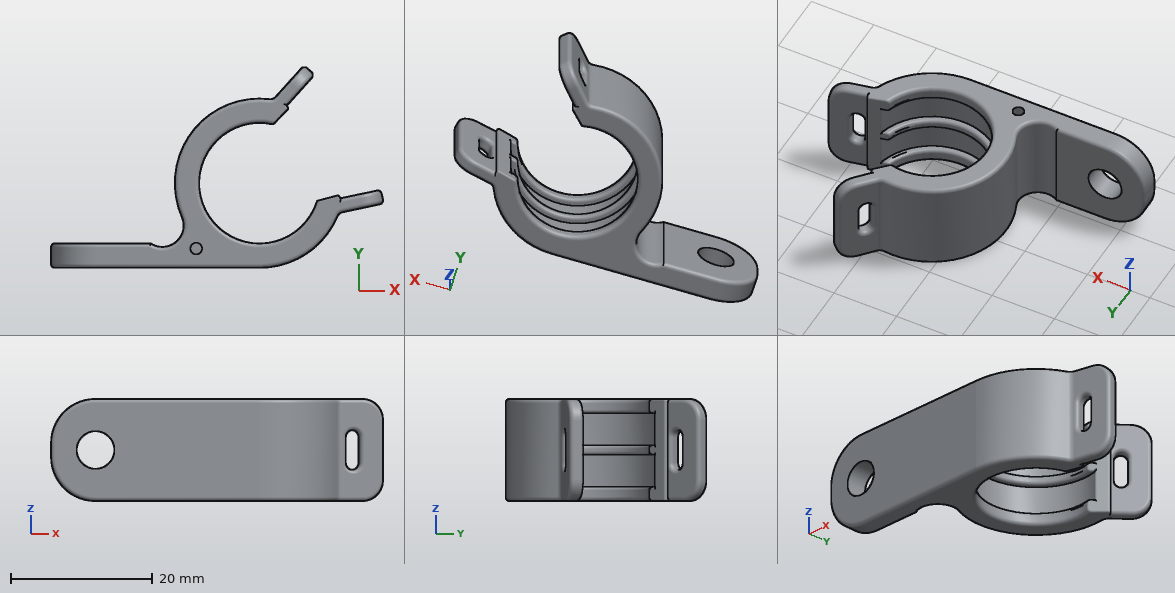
import cadquery as cq
import math

HEIGHT = 14.5
TOP_Z = HEIGHT / 2
EDGE_FILLET = 0.6

RING_OUTER_R = 12.0
BORE_R = 8.52
MOUTH_AXIS_ANGLE = 30.0
MOUTH_INNER_ANGLE = 47.0
MOUTH_OUTER_R = 11.35
MOUTH_OUTER_ANGLE = 38.5
MOUTH_FILLET = 0.3

GROOVE_R = 9.5
GROOVE_NEAR_Z = 0.7
GROOVE_FAR_Z = 5.2
GROOVE_LIP_R = 0.48

TAB_ANGLE = 18.0
TAB_THICKNESS = 2.02
TAB_INNER_OFFSET = 4.46
TAB_OUTER_OFFSET = TAB_INNER_OFFSET + TAB_THICKNESS
TAB_HEEL = 10.75
TAB_TIP = 16.63
TAB_ROOT_FILLET = 1.0
TAB_CORNER_R = 3.0

SLOT_DISTANCE = 12.25
SLOT_LENGTH = 5.6
SLOT_WIDTH = 2.0
SLOT_FILLET = 0.6

STRIP_END_X = -29.52
STRIP_OUTER_Y = -RING_OUTER_R
STRIP_THICKNESS = 3.5
STRIP_INNER_Y = STRIP_OUTER_Y + STRIP_THICKNESS
STRIP_CORNER_R = 6.32
SCREW_HOLE_D = 5.3
SCREW_HOLE_X = STRIP_END_X + STRIP_CORNER_R

RELIEF_R = 3.0
RELIEF_Y = -6.0
RELIEF_REACH = RING_OUTER_R + RELIEF_R
RELIEF_X = -math.sqrt(RELIEF_REACH**2 - RELIEF_Y**2)

PIN_HOLE_D = 1.65
PIN_HOLE_X = -8.95
PIN_HOLE_Y = -9.25
PIN_HOLE_DEPTH = 2.0

UPPER_ARC_VIA_ANGLE = 150.0
LOWER_ARC_VIA_ANGLE = -60.0
RELIEF_VIA_ANGLE = -45.0

SIDES = (1, -1)
PICK_SIZE = 0.01


def polar(radius, degrees):
    """Point at a radius and angle about the bore axis."""
    angle = math.radians(degrees)
    return radius * math.cos(angle), radius * math.sin(angle)


def mouth_point(side, radius, degrees):
    """Point on one arm at an angle from the mouth axis."""
    return polar(radius, MOUTH_AXIS_ANGLE + side * degrees)


def tab_point(side, distance, offset):
    """Point at a distance along a tab and an offset outward from the bore centre."""
    direction = MOUTH_AXIS_ANGLE + side * TAB_ANGLE
    along_x, along_y = polar(distance, direction)
    across_x, across_y = polar(offset, direction + side * 90)
    return along_x + across_x, along_y + across_y


def root_fillet_points(side):
    """Start on the ring, middle and end on the tab of the fillet at a tab's root."""
    reach = RING_OUTER_R + TAB_ROOT_FILLET
    offset = TAB_OUTER_OFFSET + TAB_ROOT_FILLET
    distance = math.sqrt(reach**2 - offset**2)
    centre_x, centre_y = tab_point(side, distance, offset)
    to_centre = math.degrees(math.atan2(centre_y, centre_x))
    to_ring = to_centre + 180
    to_tab = MOUTH_AXIS_ANGLE + side * (TAB_ANGLE - 90)
    turn = (to_tab - to_ring + 180) % 360 - 180
    mid_x, mid_y = polar(TAB_ROOT_FILLET, to_ring + turn / 2)
    middle = (centre_x + mid_x, centre_y + mid_y)
    return polar(RING_OUTER_R, to_centre), middle, tab_point(side, distance, TAB_OUTER_OFFSET)


def clip_blank():
    """Outline of strip, ring and tabs, extruded to the full height."""
    upper_ring, upper_mid, upper_tab = root_fillet_points(1)
    lower_ring, lower_mid, lower_tab = root_fillet_points(-1)
    relief_start = polar(RING_OUTER_R, math.degrees(math.atan2(RELIEF_Y, RELIEF_X)))
    mid_x, mid_y = polar(RELIEF_R, RELIEF_VIA_ANGLE)
    relief_mid = (RELIEF_X + mid_x, RELIEF_Y + mid_y)
    relief_half_width = math.sqrt(RELIEF_R**2 - (STRIP_INNER_Y - RELIEF_Y) ** 2)
    relief_end = (RELIEF_X - relief_half_width, STRIP_INNER_Y)
    bore_back = polar(BORE_R, MOUTH_AXIS_ANGLE + 180)
    return (
        cq.Workplane("XY")
        .moveTo(STRIP_END_X, STRIP_OUTER_Y)
        .lineTo(0, STRIP_OUTER_Y)
        .threePointArc(polar(RING_OUTER_R, LOWER_ARC_VIA_ANGLE), lower_ring)
        .threePointArc(lower_mid, lower_tab)
        .lineTo(*tab_point(-1, TAB_TIP, TAB_OUTER_OFFSET))
        .lineTo(*tab_point(-1, TAB_TIP, TAB_INNER_OFFSET))
        .lineTo(*tab_point(-1, TAB_HEEL, TAB_INNER_OFFSET))
        .lineTo(*mouth_point(-1, MOUTH_OUTER_R, MOUTH_OUTER_ANGLE))
        .lineTo(*mouth_point(-1, BORE_R, MOUTH_INNER_ANGLE))
        .threePointArc(bore_back, mouth_point(1, BORE_R, MOUTH_INNER_ANGLE))
        .lineTo(*mouth_point(1, MOUTH_OUTER_R, MOUTH_OUTER_ANGLE))
        .lineTo(*tab_point(1, TAB_HEEL, TAB_INNER_OFFSET))
        .lineTo(*tab_point(1, TAB_TIP, TAB_INNER_OFFSET))
        .lineTo(*tab_point(1, TAB_TIP, TAB_OUTER_OFFSET))
        .lineTo(*upper_tab)
        .threePointArc(upper_mid, upper_ring)
        .threePointArc(polar(RING_OUTER_R, UPPER_ARC_VIA_ANGLE), relief_start)
        .threePointArc(relief_mid, relief_end)
        .lineTo(STRIP_END_X, STRIP_INNER_Y)
        .close()
        .extrude(TOP_Z, both=True)
    )


def at_point(x, y, z):
    """Selector for the edge whose centre lies at a point."""
    low = (x - PICK_SIZE, y - PICK_SIZE, z - PICK_SIZE)
    high = (x + PICK_SIZE, y + PICK_SIZE, z + PICK_SIZE)
    return cq.selectors.BoxSelector(low, high)


def round_corners(body):
    """Round the free corners of the strip and of both tabs."""
    body = body.faces("<X").edges("|Y").fillet(STRIP_CORNER_R)
    for side in SIDES:
        tip = tab_point(side, TAB_TIP, TAB_INNER_OFFSET + TAB_THICKNESS / 2)
        for z in (TOP_Z, -TOP_Z):
            body = body.edges(at_point(*tip, z)).fillet(TAB_CORNER_R)
    return body


def rim_edges(body):
    """One edge of every smooth chain around the flat sides and the bore ends."""
    picked = [body.edges(at_point(STRIP_END_X, y, 0)).val() for y in (STRIP_OUTER_Y, STRIP_INNER_Y)]
    for side in SIDES:
        for offset in (TAB_INNER_OFFSET, TAB_OUTER_OFFSET):
            tip = tab_point(side, TAB_TIP, offset)
            picked.append(body.edges(at_point(*tip, 0)).val())
    for edge in body.edges("%CIRCLE").vals():
        if abs(edge.radius() - BORE_R) < PICK_SIZE:
            picked.append(edge)
    return picked


def round_rims(body):
    """Round every outside edge except those of the mouth."""
    return body.newObject([body.val().fillet(EDGE_FILLET, rim_edges(body))])


def tab_plane(side):
    """Plane on a tab's inner face at its slot: X along the tab, Z outward from the bore."""
    direction = MOUTH_AXIS_ANGLE + side * TAB_ANGLE
    origin = tab_point(side, SLOT_DISTANCE, TAB_INNER_OFFSET)
    return cq.Plane((*origin, 0), (*polar(1, direction), 0), (*polar(1, direction + side * 90), 0))


def cut_tab_slots(body):
    """Cut a round-ended slot through each tab and round its rims."""
    for side in SIDES:
        slot = cq.Workplane(tab_plane(side)).slot2D(SLOT_LENGTH, SLOT_WIDTH, 90).extrude(TAB_THICKNESS)
        body = body.cut(slot)
        for offset in (TAB_INNER_OFFSET, TAB_OUTER_OFFSET):
            rim = tab_point(side, SLOT_DISTANCE - SLOT_WIDTH / 2, offset)
            body = body.edges(at_point(*rim, 0)).fillet(SLOT_FILLET)
    return body


def cut_grip_grooves(body):
    """Turn two grooves into the bore, with rounded lips on the ribs left between them."""
    lip_floor_r = BORE_R + GROOVE_LIP_R
    lip_inset = GROOVE_LIP_R * (1 - math.sqrt(0.5))
    groove = (
        cq.Workplane("XZ")
        .moveTo(BORE_R, GROOVE_NEAR_Z - GROOVE_LIP_R)
        .threePointArc(
            (BORE_R + lip_inset, GROOVE_NEAR_Z - lip_inset),
            (lip_floor_r, GROOVE_NEAR_Z),
        )
        .lineTo(GROOVE_R, GROOVE_NEAR_Z)
        .lineTo(GROOVE_R, GROOVE_FAR_Z)
        .lineTo(lip_floor_r, GROOVE_FAR_Z)
        .threePointArc(
            (BORE_R + lip_inset, GROOVE_FAR_Z + lip_inset),
            (BORE_R, GROOVE_FAR_Z + GROOVE_LIP_R),
        )
        .close()
        .revolve(360, (0, 0, 0), (0, 1, 0))
    )
    return body.cut(groove).cut(groove.mirror("XY"))


def face_between(body, start, end):
    """Upright face whose centre is nearest the middle of the line between two outline points."""
    middle = ((start[0] + end[0]) / 2, (start[1] + end[1]) / 2, 0)
    return body.faces(cq.selectors.NearestToPointSelector(middle))


def round_mouth(body):
    """Round each arm's lead-in face all round, and the end edges of the step from it to the tab."""
    for side in SIDES:
        inner = mouth_point(side, BORE_R, MOUTH_INNER_ANGLE)
        crest = mouth_point(side, MOUTH_OUTER_R, MOUTH_OUTER_ANGLE)
        heel = tab_point(side, TAB_HEEL, TAB_INNER_OFFSET)
        lead_in = face_between(body, inner, crest)
        step = face_between(body, crest, heel)
        picked = lead_in.edges().add(step.edges(">Z")).add(step.edges("<Z"))
        body = body.newObject([body.val().fillet(MOUTH_FILLET, picked.vals())])
    return body


def cut_screw_hole(body):
    """Drill the screw hole through the rounded end of the strip."""
    hole = (
        cq.Workplane("XZ", origin=(SCREW_HOLE_X, STRIP_INNER_Y, 0))
        .circle(SCREW_HOLE_D / 2)
        .extrude(STRIP_THICKNESS)
    )
    return body.cut(hole)


def cut_pin_hole(body):
    """Drill the small blind hole in the upper side."""
    hole = (
        cq.Workplane("XY", origin=(PIN_HOLE_X, PIN_HOLE_Y, TOP_Z))
        .circle(PIN_HOLE_D / 2)
        .extrude(-PIN_HOLE_DEPTH)
    )
    return body.cut(hole)


clip = round_rims(round_corners(clip_blank()))
clip = cut_tab_slots(clip)
clip = cut_grip_grooves(clip)
clip = round_mouth(clip)
clip = cut_screw_hole(clip)
result = cut_pin_hole(clip)